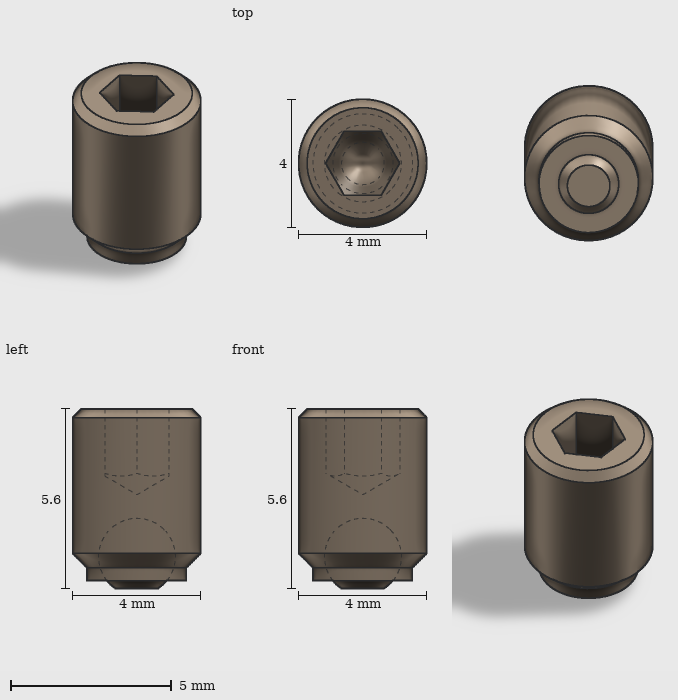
import cadquery as cq
import math

body_radius = 2.0
overall_height = 5.6
top_chamfer = 0.27
collar_radius = 1.55
collar_height = 0.4
taper_height = body_radius - collar_radius

ball_radius = 1.2
ball_center_height = 1.0
ball_projection = 0.25

socket_across_flats = 2.0
socket_depth = 2.0
drill_point_angle = 120.0

collar_bottom = ball_projection
collar_top = collar_bottom + collar_height
taper_top = collar_top + taper_height
socket_corner_radius = socket_across_flats / math.sqrt(3)
drill_point_depth = socket_corner_radius / math.tan(math.radians(drill_point_angle / 2))
socket_floor = overall_height - socket_depth
socket_tip = socket_floor - drill_point_depth


def make_full_ball():
    return cq.Workplane("XY").sphere(ball_radius).translate((0, 0, ball_center_height))


def make_thrust_ball():
    """Ball with everything below Z = 0 removed, leaving a flat thrust face."""
    below_flat = cq.Workplane("XY").rect(2 * ball_radius, 2 * ball_radius).extrude(-ball_radius)
    return make_full_ball().cut(below_flat)


def make_socket():
    """Hexagonal prism whose lower end is the cone left by the drill."""
    hexagon = (
        cq.Workplane("XY", origin=(0, 0, socket_tip))
        .polygon(6, 2 * socket_corner_radius)
        .extrude(overall_height - socket_tip)
    )
    drilled_hole = (
        cq.Workplane("XZ")
        .moveTo(0, socket_tip)
        .lineTo(socket_corner_radius, socket_floor)
        .lineTo(socket_corner_radius, overall_height)
        .lineTo(0, overall_height)
        .close()
        .revolve(360, (0, 0, 0), (0, 1, 0))
    )
    return hexagon.intersect(drilled_hole)


def make_screw_body():
    blank = (
        cq.Workplane("XZ")
        .moveTo(0, collar_bottom)
        .lineTo(collar_radius, collar_bottom)
        .lineTo(collar_radius, collar_top)
        .lineTo(body_radius, taper_top)
        .lineTo(body_radius, overall_height - top_chamfer)
        .lineTo(body_radius - top_chamfer, overall_height)
        .lineTo(0, overall_height)
        .close()
        .revolve(360, (0, 0, 0), (0, 1, 0))
    )
    return blank.cut(make_socket()).cut(make_full_ball())


screw_body = make_screw_body().solids()
thrust_ball = make_thrust_ball().solids()

result = cq.Compound.makeCompound([screw_body.val(), thrust_ball.val()])